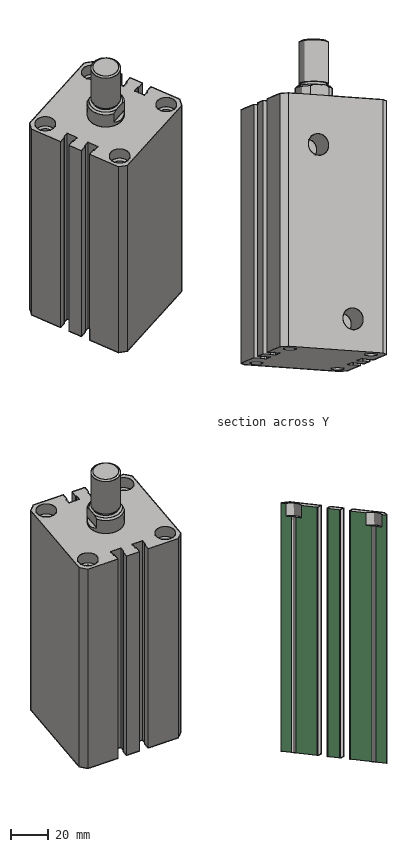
import cadquery as cq

width = 62.0
total_height = 173.0
housing_height = 138.0
edge_chamfer = 3.5

mount_spacing = 47.0
mount_diameter = 7.0
counterbore_diameter = 11.0
counterbore_depth = 7.0

slot_offset = 6.5
slot_neck_width = 5.2
slot_neck_depth = 4.2
slot_foot_width = 6.2
slot_depth = 7.5

port_mouth_diameter = 11.8
port_floor_diameter = 10.7
port_depth = 15.5
port_offset = 10.0
upper_port_drop = 27.0
upper_port_z = housing_height - upper_port_drop
lower_port_z = 17.5

rod_diameter = 20.0
rod_chamfer = 1.0
collar_height = 10.0
flat_spacing = 17.0
flat_base_height = 3.0
neck_diameter = 14.0
neck_height = 1.7
stud_diameter = 16.0
stud_chamfer_width = 1.0
stud_chamfer_height = 0.7
rod_bore_depth = 10.0

collar_top = housing_height + collar_height
neck_top = collar_top + neck_height
rod_bottom = housing_height - rod_bore_depth


def slot_cutter(x, side):
    """T-shaped slot along the full height, open on the -Y (side = -1) or +Y (side = 1) face."""
    def bar(bar_width, depth_from, depth_to):
        depth = depth_to - depth_from
        y = side * (width / 2 - (depth_from + depth_to) / 2)
        return cq.Workplane("XY").center(x, y).rect(bar_width, depth).extrude(housing_height)

    neck = bar(slot_neck_width, 0, slot_depth)
    foot = bar(slot_foot_width, slot_neck_depth, slot_depth)
    return neck.union(foot)


def port_cutter(y, z):
    """Blind tapered port, narrowing from the -X face along +X."""
    face_centre = cq.Vector(-width / 2, y, z)
    inward = cq.Vector(1, 0, 0)
    return cq.Solid.makeCone(
        port_mouth_diameter / 2, port_floor_diameter / 2, port_depth, face_centre, inward
    )


def make_housing():
    housing = cq.Workplane("XY").rect(width, width).extrude(housing_height)
    housing = housing.edges("|Z").chamfer(edge_chamfer)
    housing = (
        housing.faces(">Z").workplane()
        .rect(mount_spacing, mount_spacing, forConstruction=True).vertices()
        .cboreHole(mount_diameter, counterbore_diameter, counterbore_depth)
    )
    for side in (-1, 1):
        for x in (-slot_offset, slot_offset):
            housing = housing.cut(slot_cutter(x, side))
    housing = housing.cut(port_cutter(port_offset, upper_port_z))
    housing = housing.cut(port_cutter(-port_offset, lower_port_z))
    bore_floor = cq.Workplane("XY").workplane(offset=rod_bottom)
    rod_bore = bore_floor.circle(rod_diameter / 2).extrude(rod_bore_depth)
    return housing.cut(rod_bore)


def flat_cutter(side):
    """Wrench flat on the -X (side = -1) or +X (side = 1) side, with a 45 degree run-out below."""
    flat_x = flat_spacing / 2
    outer_x = rod_diameter / 2
    flat_bottom = housing_height + flat_base_height
    profile = [
        (side * flat_x, flat_bottom),
        (side * outer_x, flat_bottom - (outer_x - flat_x)),
        (side * outer_x, collar_top),
        (side * flat_x, collar_top),
    ]
    return cq.Workplane("XZ").polyline(profile).close().extrude(rod_diameter / 2, both=True)


def make_rod():
    rod_radius = rod_diameter / 2
    neck_radius = neck_diameter / 2
    stud_radius = stud_diameter / 2
    profile = [
        (0, rod_bottom),
        (rod_radius, rod_bottom),
        (rod_radius, collar_top - rod_chamfer),
        (rod_radius - rod_chamfer, collar_top),
        (neck_radius, collar_top),
        (neck_radius, neck_top),
        (stud_radius, neck_top),
        (stud_radius, total_height - stud_chamfer_height),
        (stud_radius - stud_chamfer_width, total_height),
        (0, total_height),
    ]
    rod = cq.Workplane("XZ").polyline(profile).close().revolve(360, (0, 0, 0), (0, 1, 0))
    for side in (-1, 1):
        rod = rod.cut(flat_cutter(side))
    return rod


housing = make_housing()
rod = make_rod()

result = cq.Compound.makeCompound([housing.val(), rod.val()])